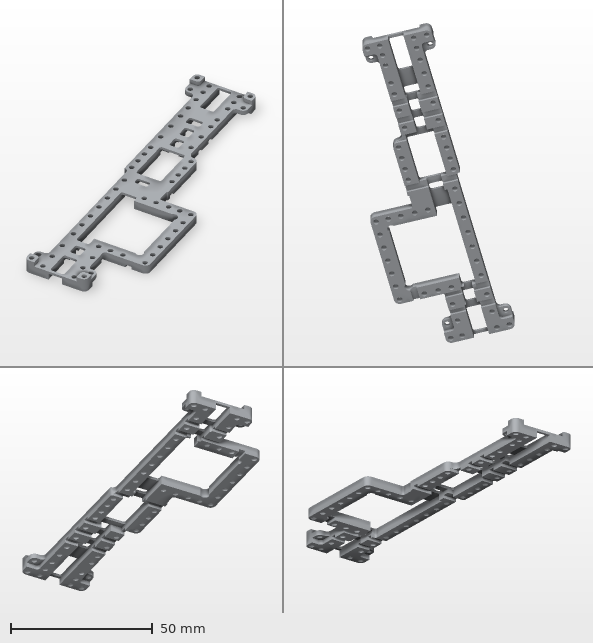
import cadquery as cq
import math

SHORTEST_LINE = 0.001

PLATE_TOP = 3.6
BOSS_TOP = 5.5
FLANGE_UNDERSIDE = 1.7
PASSAGE_TOP = 2.6
CROSS_GROOVE_TOP = 1.1

LENGTH = 123.7
WIDTH = 40.5

REAR_LEFT = 4.7
FRONT_LEFT = 6.3
LEFT_STEP_Y = 65.5
REAR_RIGHT = 20.9
WIDE_RIGHT = 25.0
WAIST_RIGHT = 24.5
FRONT_RIGHT = 22.8
WIDEN_Y = 82.7
WAIST_Y = 61.0

FRAME_TOP = 55.9
FRAME_BOTTOM = 19.8
FRAME_REAR_CORNER = 0.7
FRAME_FRONT_CORNER = 1.0

REAR_FOOT = (0.0, 25.4)
FRONT_FOOT = (1.7, 26.8)
FOOT_DEPTH = 8.7
OUTER_RADIUS = 2.0
NECK_RADIUS = 1.5
BOSS_SIZE = 4.0
BOSS_RADIUS = 1.4
FOOT_BASE_DEPTH = 4.6
FOOT_BASE_RADIUS = 1.2

HOLE_DIAMETER = 2.0
END_HOLE_INSET = 1.9
FOOT_HOLE_INSET = 6.8
REAR_LEFT_HOLE_X = 6.7
REAR_RIGHT_HOLE_X = 19.0
WIDE_HOLE_X = 23.1
FRONT_LEFT_HOLE_X = 8.2
FRONT_RIGHT_HOLE_X = 20.9
FRAME_HOLE_X = 38.5
FRAME_REAR_HOLE_Y = 53.8
FRAME_FRONT_HOLE_Y = 21.5
FRAME_HOLE_STEPS = 6
WIDE_HOLE_YS = (80.6, 76.2, 71.6, 67.2)
SHARED_REAR_YS = (101.7, 94.9, 87.7)
REAR_LEFT_HOLE_YS = (117.6, 112.7, 107.1) + SHARED_REAR_YS + WIDE_HOLE_YS
REAR_RIGHT_HOLE_YS = (117.9, 113.7, 106.2) + SHARED_REAR_YS
FRONT_LEFT_HOLE_YS = (15.6, 8.4)
FRONT_RIGHT_HOLE_YS = (14.8, 8.0)
LONG_ROW_START = 59.5
LONG_ROW_END = 23.5
LONG_ROW_STEPS = 6
FRAME_ARM_HOLE_XS = (19.5, 24.4, 29.4)
FRAME_EXTRA_HOLE_X = 34.0

REAR_WINDOW = (9.9, 15.6, 109.5, 122.6)
SHORT_WINDOW = (9.9, 15.6, 99.3, 102.5)
SQUARE_WINDOW_A = (11.5, 15.3, 92.1, 96.7)
SQUARE_WINDOW_B = (11.5, 15.3, 85.1, 89.5)
LARGE_WINDOW = (9.5, 19.7, 65.2, 82.6)
SLOT_WINDOW = (11.7, 17.1, 60.0, 62.6)
FRONT_SQUARE_WINDOW = (12.2, 16.5, 13.6, 18.0)
FRONT_WINDOW = (11.5, 17.1, 1.1, 11.0)
WINDOW_RADIUS = 0.7

REAR_WINDOWS = (SLOT_WINDOW, LARGE_WINDOW, SQUARE_WINDOW_B, SQUARE_WINDOW_A, SHORT_WINDOW, REAR_WINDOW)
WINDOWS = (FRONT_WINDOW, FRONT_SQUARE_WINDOW) + REAR_WINDOWS

OPENING_LEFT = 10.8
OPENING_RIGHT = 35.0
OPENING_REAR = 50.7
OPENING_FRONT = 24.6
REAR_NOTCH = (17.1, 52.9)
FRONT_NOTCH = (16.0, 20.8)
RELIEF_INSET = 1.1
RELIEF_RADIUS = RELIEF_INSET * math.sqrt(2)

FRAME_GROOVE = (31.4, 33.9)

FRONT_GROOVE_REAR = 12.9


def box(left, right, front, rear, bottom, top):
    """Block given by its limits along X, Y and Z."""
    block = cq.Workplane("XY").box(right - left, rear - front, top - bottom, centered=False)
    return block.translate((left, front, bottom))


def rounded_outline(corners):
    """Closed outline through (x, y, radius) right-angled corners, the first of them sharp."""
    pen = cq.Vector(*corners[0][:2])
    path = cq.Workplane("XY").moveTo(pen.x, pen.y)
    for i in range(1, len(corners)):
        before = cq.Vector(*corners[i - 1][:2])
        corner = cq.Vector(*corners[i][:2])
        after = cq.Vector(*corners[(i + 1) % len(corners)][:2])
        radius = corners[i][2]
        start = corner + (before - corner).normalized() * radius
        end = corner + (after - corner).normalized() * radius
        if (start - pen).Length > SHORTEST_LINE:
            path = path.lineTo(start.x, start.y)
        if radius > 0:
            centre = start + end - corner
            middle = centre + (corner - centre).normalized() * radius
            path = path.threePointArc((middle.x, middle.y), (end.x, end.y))
        pen = end
    return path.close()


def make_plate():
    rear_neck = LENGTH - FOOT_DEPTH
    middle_x = sum(FRONT_FOOT) / 2
    widen_radius = (WIDE_RIGHT - REAR_RIGHT) / 2
    step_radius = FRONT_LEFT - REAR_LEFT
    corners = [
        (middle_x, 0, 0),
        (FRONT_FOOT[1], 0, OUTER_RADIUS),
        (FRONT_FOOT[1], FOOT_DEPTH, OUTER_RADIUS),
        (FRONT_RIGHT, FOOT_DEPTH, NECK_RADIUS),
        (FRONT_RIGHT, FRAME_BOTTOM, FRAME_FRONT_CORNER),
        (WIDTH, FRAME_BOTTOM, OUTER_RADIUS),
        (WIDTH, FRAME_TOP, OUTER_RADIUS),
        (WAIST_RIGHT, FRAME_TOP, FRAME_REAR_CORNER),
        (WAIST_RIGHT, WAIST_Y, 0),
        (WIDE_RIGHT, WAIST_Y, 0),
        (WIDE_RIGHT, WIDEN_Y, widen_radius),
        (REAR_RIGHT, WIDEN_Y, widen_radius),
        (REAR_RIGHT, rear_neck, NECK_RADIUS),
        (REAR_FOOT[1], rear_neck, OUTER_RADIUS),
        (REAR_FOOT[1], LENGTH, OUTER_RADIUS),
        (REAR_FOOT[0], LENGTH, OUTER_RADIUS),
        (REAR_FOOT[0], rear_neck, OUTER_RADIUS),
        (REAR_LEFT, rear_neck, NECK_RADIUS),
        (REAR_LEFT, LEFT_STEP_Y, 0),
        (FRONT_LEFT, LEFT_STEP_Y, step_radius),
        (FRONT_LEFT, FOOT_DEPTH, NECK_RADIUS),
        (FRONT_FOOT[0], FOOT_DEPTH, OUTER_RADIUS),
        (FRONT_FOOT[0], 0, OUTER_RADIUS),
    ]
    return rounded_outline(corners).extrude(PLATE_TOP)


def foot_corners():
    """Each foot corner: outer corner, inward X and Y directions, distance in to the spine wall."""
    for foot, walls, end_y, inward_y in (
        (REAR_FOOT, (REAR_LEFT, REAR_RIGHT), LENGTH, -1),
        (FRONT_FOOT, (FRONT_LEFT, FRONT_RIGHT), 0, 1),
    ):
        for outer_x, wall_x, inward_x in zip(foot, walls, (1, -1)):
            yield outer_x, end_y, inward_x, inward_y, abs(wall_x - outer_x)


def make_boss(x, y, dx, dy):
    inner_x = x + dx * BOSS_SIZE
    inner_y = y + dy * BOSS_SIZE
    corners = [
        (inner_x, y, 0),
        (inner_x, inner_y, BOSS_RADIUS),
        (x, inner_y, 0),
        (x, y, OUTER_RADIUS),
    ]
    return rounded_outline(corners).extrude(BOSS_TOP)


def make_flange_undercut(x, y, dx, dy, wall_distance):
    """Space under the thin part of a foot, beside the spine."""
    wall_x = x + dx * wall_distance
    base_y = y + dy * FOOT_BASE_DEPTH
    neck_end_y = y + dy * (FOOT_DEPTH + NECK_RADIUS)
    corners = [
        (x, base_y, 0),
        (wall_x, base_y, FOOT_BASE_RADIUS),
        (wall_x, neck_end_y, 0),
        (x, neck_end_y, 0),
    ]
    return rounded_outline(corners).extrude(FLANGE_UNDERSIDE)


def hole_points():
    frame_pitch = (FRAME_REAR_HOLE_Y - FRAME_FRONT_HOLE_Y) / FRAME_HOLE_STEPS
    long_row_pitch = (LONG_ROW_START - LONG_ROW_END) / LONG_ROW_STEPS
    points = []
    for x, y, dx, dy, _ in foot_corners():
        points += [(x + dx * END_HOLE_INSET, y + dy * inset) for inset in (END_HOLE_INSET, FOOT_HOLE_INSET)]
    points += [(x, LENGTH - END_HOLE_INSET) for x in (REAR_LEFT_HOLE_X, REAR_RIGHT_HOLE_X)]
    points += [(x, END_HOLE_INSET) for x in (FRONT_LEFT_HOLE_X, FRONT_RIGHT_HOLE_X)]
    for x, ys in (
        (REAR_LEFT_HOLE_X, REAR_LEFT_HOLE_YS),
        (REAR_RIGHT_HOLE_X, REAR_RIGHT_HOLE_YS),
        (WIDE_HOLE_X, WIDE_HOLE_YS),
        (FRONT_LEFT_HOLE_X, FRONT_LEFT_HOLE_YS),
        (FRONT_RIGHT_HOLE_X, FRONT_RIGHT_HOLE_YS),
    ):
        points += [(x, y) for y in ys]
    points += [(FRONT_LEFT_HOLE_X, LONG_ROW_END + i * long_row_pitch) for i in range(LONG_ROW_STEPS + 1)]
    points += [(FRAME_HOLE_X, FRAME_FRONT_HOLE_Y + i * frame_pitch) for i in range(FRAME_HOLE_STEPS + 1)]
    points += [(x, y) for x in FRAME_ARM_HOLE_XS for y in (FRAME_REAR_HOLE_Y, FRAME_FRONT_HOLE_Y)]
    points.append((FRAME_EXTRA_HOLE_X, FRAME_REAR_HOLE_Y))
    return points


def make_window(left, right, front, rear):
    return box(left, right, front, rear, 0, PLATE_TOP).edges("|Z").fillet(WINDOW_RADIUS)


def make_frame_opening():
    corners = [
        (OPENING_RIGHT, OPENING_FRONT, 0),
        (OPENING_RIGHT, OPENING_REAR, 0),
        (REAR_NOTCH[0], OPENING_REAR, 0),
        (REAR_NOTCH[0], REAR_NOTCH[1], WINDOW_RADIUS),
        (OPENING_LEFT, REAR_NOTCH[1], WINDOW_RADIUS),
        (OPENING_LEFT, FRONT_NOTCH[1], WINDOW_RADIUS),
        (FRONT_NOTCH[0], FRONT_NOTCH[1], WINDOW_RADIUS),
        (FRONT_NOTCH[0], OPENING_FRONT, 0),
    ]
    relief_x = OPENING_RIGHT - RELIEF_INSET
    relief_points = [(relief_x, OPENING_REAR - RELIEF_INSET), (relief_x, OPENING_FRONT + RELIEF_INSET)]
    reliefs = cq.Workplane("XY").pushPoints(relief_points).circle(RELIEF_RADIUS).extrude(PLATE_TOP)
    return rounded_outline(corners).extrude(PLATE_TOP).union(reliefs)


def cable_passages():
    """Square-cornered passages below each window that run on under the next bar."""
    passage_ends = [FRONT_SQUARE_WINDOW[2], FRONT_NOTCH[1]]
    passage_ends += [window[2] for window in REAR_WINDOWS[1:]] + [LENGTH]
    passages = []
    for (left, right, front, _), passage_end in zip(WINDOWS, passage_ends):
        passages.append(box(left, right, front, passage_end, 0, PASSAGE_TOP))
    passages[0] = passages[0].edges("|Z").edges(">X and >Y").fillet(WINDOW_RADIUS)
    passages.append(box(*FRONT_WINDOW[:2], 0, FRONT_WINDOW[2], 0, PASSAGE_TOP))
    passages.append(box(OPENING_LEFT, REAR_NOTCH[0], OPENING_REAR, SLOT_WINDOW[2], 0, PASSAGE_TOP))
    return passages


def cross_grooves():
    """Shallow grooves in the underside across the bars, and one across the frame's front arm."""
    grooved_windows = REAR_WINDOWS[:-1]
    runs = []
    for ahead, behind in zip(grooved_windows, grooved_windows[1:]):
        runs.append((0, WIDE_RIGHT, ahead[3], behind[2]))
    bar_front = FRONT_SQUARE_WINDOW[3]
    runs.append((0, OPENING_LEFT, bar_front, FRONT_NOTCH[1]))
    runs.append((0, FRONT_RIGHT + FRAME_FRONT_CORNER, bar_front, FRAME_BOTTOM))
    bar_front = FRONT_WINDOW[3]
    runs.append((0, FRONT_WINDOW[0], bar_front, FRONT_SQUARE_WINDOW[2]))
    runs.append((0, FRONT_RIGHT, bar_front, FRONT_GROOVE_REAR))
    runs.append((*FRAME_GROOVE, FRAME_BOTTOM, OPENING_FRONT))
    return [box(*run, 0, CROSS_GROOVE_TOP) for run in runs]


result = make_plate()

for x, y, dx, dy, wall_distance in foot_corners():
    result = result.union(make_boss(x, y, dx, dy))
    result = result.cut(make_flange_undercut(x, y, dx, dy, wall_distance))

for window in WINDOWS:
    result = result.cut(make_window(*window))

result = result.cut(make_frame_opening())

for relief in cable_passages() + cross_grooves():
    result = result.cut(relief)

holes = cq.Workplane("XY").pushPoints(hole_points()).circle(HOLE_DIAMETER / 2).extrude(BOSS_TOP)
result = result.cut(holes)